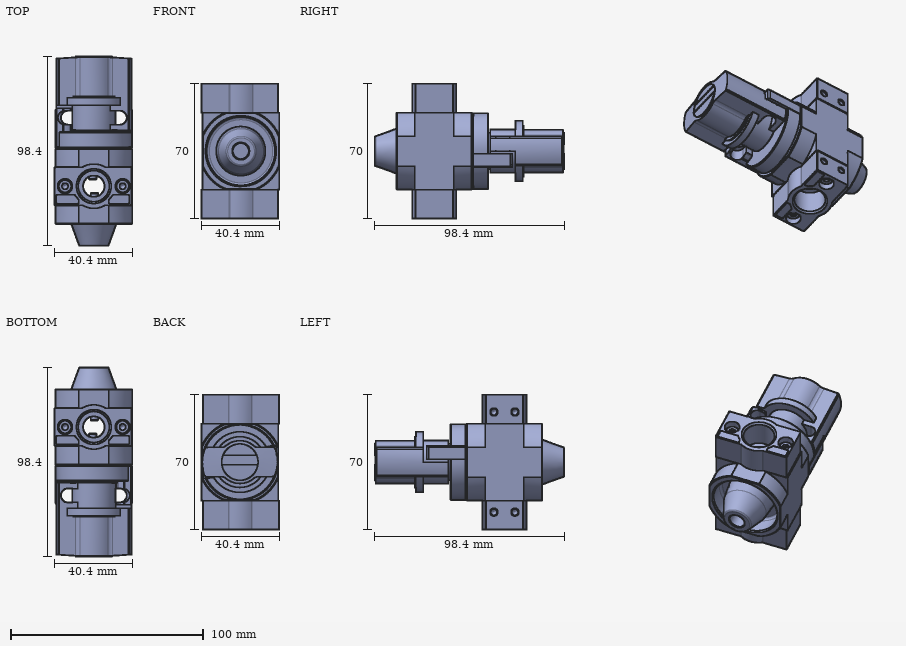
import cadquery as cq
import math


HOUSING_HALF_WIDTH = 20.0
HOUSING_HALF_LENGTH = 19.7
HOUSING_RADIUS = 21.4
MIDDLE_HALF_LENGTH = 10.0
HOUSING_EDGE = 0.4
CHANNEL_RADIUS = 5.5
STOP_DIAMETER = 4.0
STOP_REACH = 3.3
STOP_EDGE = 0.5
STOP_OFFSETS = {1: -0.6, -1: 0.3}

RECESS_RADIUS = 17.7
RECESS_EDGE = 0.7
RECESS_DEPTH = 9.6
RECESS_FILLET = 1.3
NOZZLE_TIP_Y = -31.0
NOZZLE_TIP_RADIUS = 7.6
NOZZLE_TIP_FILLET = 0.9
NOZZLE_SHOULDER_RADIUS = 11.7
NOZZLE_ROOT_RADIUS = 12.8
NOZZLE_BORE_RADIUS = 4.1
NOZZLE_BORE_DEPTH = 9.8
NOZZLE_BORE_EDGE = 0.4

BLOCK_TOP = 34.98
BLOCK_WIDTH = 39.8
BLOCK_OFFSET = -0.54
BLOCK_HALF_LENGTH = 9.8
BLOCK_EDGE = 0.3
BOSS_RADIUS = 11.5
BOSS_ROOT_FILLET = 0.6
PORT_RADIUS = 8.1
PORT_EDGE = 1.0
SIDE_HOLE_SPACING = 10.9
SIDE_HOLE_HEIGHT = 26.0
SIDE_HOLE_DIAMETER = 3.2
SIDE_HOLE_MOUTH = 4.0
SIDE_HOLE_DEPTH = 3.9
LABEL_DEPTH = 0.2
LABEL_MARGIN = 1.0
LABEL_INNER = 7.8
LABEL_CUT_X = 9.9
LABEL_CUT_Y = -7.1
LABEL_NEAR = -4.5
LABEL_FAR = -9.1
LABEL_FILLET = 0.6

SCREW_X = 15.0
SCREW_SINK = 3.2
SCREW_POCKET_DIAMETER = 7.7
SCREW_HEAD_DIAMETER = 7.0
SCREW_HEAD_EDGE = 0.3
SCREW_HEAD_HEIGHT = 3.9
SCREW_SHANK_DIAMETER = 4.0
SCREW_TIP_Z = 13.8
SOCKET_DIAMETER = 3.2
SOCKET_DEPTH = 1.5
DRILL_TIP_ANGLE = 118.0

SLEEVE_RADIUS = 19.8
SLEEVE_END = 28.1
SLEEVE_EDGE = 0.5
SLEEVE_GAP = 0.6
SLEEVE_LIP_RADIUS = 18.2
ARM_END = 40.3
ARM_OUTER = 20.0
ARM_INNER = 11.9
ARM_CREST = 16.1
ARM_BULGE_OUTER = 15.6
ARM_BULGE_INNER = 12.7
ARM_BULGE_DROP = 0.3
ARM_BULGE_SAG = 0.4
ARM_BOTTOM = 1.4
ARM_TOP = 8.5
ARM_END_EDGE = 1.0
ARM_TOP_EDGE = 0.7

NECK_RADIUS = 9.5
SHAFT_RADIUS = 11.3
SHAFT_START = 29.0
GRIP_RADIUS = 11.1
GRIP_END = 66.9
GRIP_END_DROP = 0.7
CAP_RADIUS = 9.4
CAP_END = 67.4
CAP_GROOVE_BOTTOM = -1.3
CAP_GROOVE_TOP = 3.5
CAP_GROOVE_DEPTH = 0.3
WING_RADIUS = 19.6
WING_HALF_THICKNESS = 7.6
WING_FLAT_HALF_WIDTH = 17.8
WING_SIDE_HALF_HEIGHT = 6.8
WING_ROOT_FILLET = 3.7
FLANGE_RADIUS = 15.7
FLANGE_START = 42.1
FLANGE_END = 45.9
FLANGE_STEP_RADIUS = 13.2
FLANGE_STEP_END = 46.5

SLOT_WIDTH = 7.1
SLOT_Y = 35.5
WING_SLOT_REACH = 17.0
ARM_SLOT_REACH = 18.6

BIG = 98.4


def rod(radius, y_start, y_end):
    """Cylinder along the valve axis."""
    plane = cq.Workplane("XZ", origin=(0, y_start, 0))
    return plane.circle(radius).extrude(y_start - y_end)


def block(x0, x1, y0, y1, z0, z1):
    """Box between two opposite corners."""
    return cq.Workplane("XY").box(x1 - x0, y1 - y0, z1 - z0, centered=False).translate((x0, y0, z0))


def turned(points):
    """Solid turned about the Y axis from (radius, y) points."""
    return cq.Workplane("XY").polyline(points).close().revolve(360, (0, 0, 0), (0, 1, 0))


def drill(diameter, depth, mouth=None):
    """Drill shape along -Z from the origin, with a conical end and an optional chamfered mouth."""
    radius = diameter / 2
    tip = radius / math.tan(math.radians(DRILL_TIP_ANGLE / 2))
    mouth_radius = mouth / 2 if mouth else radius
    points = [(0, 0), (mouth_radius, 0)]
    if mouth:
        points.append((radius, radius - mouth_radius))
    points += [(radius, -depth), (0, -depth - tip)]
    return cq.Workplane("XZ").polyline(points).close().revolve(360, (0, 0, 0), (0, 1, 0))


def make_nozzle():
    root_y = RECESS_DEPTH - HOUSING_HALF_LENGTH
    nozzle = turned([
        (0, root_y),
        (NOZZLE_ROOT_RADIUS, root_y),
        (NOZZLE_SHOULDER_RADIUS, -HOUSING_HALF_LENGTH),
        (NOZZLE_TIP_RADIUS, NOZZLE_TIP_Y),
        (0, NOZZLE_TIP_Y),
    ])
    nozzle = nozzle.faces("<Y").edges().fillet(NOZZLE_TIP_FILLET)
    bore = rod(NOZZLE_BORE_RADIUS, NOZZLE_TIP_Y, NOZZLE_TIP_Y + NOZZLE_BORE_DEPTH)
    mouth = cq.selectors.RadiusNthSelector(0)
    return nozzle.cut(bore).faces("<Y").edges(mouth).chamfer(NOZZLE_BORE_EDGE)


def make_housing():
    w, h = HOUSING_HALF_WIDTH, HOUSING_HALF_LENGTH
    housing = rod(HOUSING_RADIUS, -h, h).intersect(block(-w, w, -h, h, -w, w))
    housing = housing.faces("|Y").chamfer(HOUSING_EDGE)
    m = MIDDLE_HALF_LENGTH
    housing = housing.union(block(-w, w, -m, m, -w, w))

    recess = rod(RECESS_RADIUS, -h, RECESS_DEPTH - h)
    recess = recess.faces(">Y").edges().fillet(RECESS_FILLET)
    rim = turned([
        (0, -h),
        (RECESS_RADIUS + RECESS_EDGE, -h),
        (RECESS_RADIUS, -h + RECESS_EDGE),
        (0, -h + RECESS_EDGE),
    ])
    housing = housing.cut(recess).cut(rim).union(make_nozzle())

    channel = cq.Workplane("XY").circle(CHANNEL_RADIUS).extrude(w, both=True)
    housing = housing.cut(channel)
    for side, offset in STOP_OFFSETS.items():
        stop = rod(STOP_DIAMETER / 2, side * STOP_REACH, side * (CHANNEL_RADIUS + 1))
        stop = stop.faces("<Y" if side > 0 else ">Y").chamfer(STOP_EDGE)
        housing = housing.union(stop.translate((offset, 0, 0)))

    for x in (-SCREW_X, SCREW_X):
        for side in (-1, 1):
            thread = cq.Workplane("XY", origin=(x, 0, side * SCREW_TIP_Z))
            housing = housing.cut(thread.circle(SCREW_SHANK_DIAMETER / 2).extrude(side * w))
    return housing


def make_label_pocket(side):
    outer_x = BLOCK_OFFSET + side * (BLOCK_WIDTH / 2 - LABEL_MARGIN)
    points = [
        (outer_x, LABEL_NEAR),
        (side * LABEL_CUT_X, LABEL_NEAR),
        (side * LABEL_INNER, LABEL_CUT_Y),
        (side * LABEL_INNER, LABEL_FAR),
        (outer_x, LABEL_FAR),
    ]
    pocket = cq.Workplane("XY", origin=(0, 0, BLOCK_TOP)).polyline(points).close().extrude(-LABEL_DEPTH)
    return pocket.edges("|Z").fillet(LABEL_FILLET)


def make_port_block():
    """Upper port block."""
    z0 = HOUSING_HALF_WIDTH
    x0, x1 = BLOCK_OFFSET - BLOCK_WIDTH / 2, BLOCK_OFFSET + BLOCK_WIDTH / 2
    port = block(x0, x1, -BLOCK_HALF_LENGTH, BLOCK_HALF_LENGTH, z0, BLOCK_TOP)
    port = port.edges("|Z").chamfer(BLOCK_EDGE)
    seat = cq.Workplane("XY", origin=(0, 0, z0))
    height = BLOCK_TOP - z0
    port = port.union(seat.circle(BOSS_RADIUS).extrude(height))
    corner = (BOSS_RADIUS, BOSS_RADIUS, BLOCK_TOP)
    boss_roots = cq.selectors.BoxSelector((-BOSS_RADIUS, -BOSS_RADIUS, z0), corner)
    port = port.edges("|Z").edges(boss_roots).fillet(BOSS_ROOT_FILLET)

    port = port.cut(seat.circle(PORT_RADIUS).extrude(height))
    mouth = cq.selectors.RadiusNthSelector(1)
    port = port.faces(">Z").edges(mouth).chamfer(PORT_EDGE)
    for y in (-SIDE_HOLE_SPACING / 2, SIDE_HOLE_SPACING / 2):
        hole = drill(SIDE_HOLE_DIAMETER, SIDE_HOLE_DEPTH, SIDE_HOLE_MOUTH)
        hole = hole.rotate((0, 0, 0), (0, 1, 0), -90)
        port = port.cut(hole.translate((x0, y, SIDE_HOLE_HEIGHT)))
    for side in (-1, 1):
        at_screw = seat.center(side * SCREW_X, 0)
        port = port.cut(at_screw.circle(SCREW_SHANK_DIAMETER / 2).extrude(height))
        pocket = at_screw.workplane(offset=height - SCREW_SINK - SCREW_HEAD_HEIGHT)
        port = port.cut(pocket.circle(SCREW_POCKET_DIAMETER / 2).extrude(height))
        port = port.cut(make_label_pocket(side))
    return port


def make_screw(x):
    """Upper block screw at the given X."""
    head_top = BLOCK_TOP - SCREW_SINK
    head_bottom = head_top - SCREW_HEAD_HEIGHT
    head = cq.Workplane("XY", origin=(0, 0, head_bottom)).circle(SCREW_HEAD_DIAMETER / 2)
    head = head.extrude(SCREW_HEAD_HEIGHT).faces(">Z").chamfer(SCREW_HEAD_EDGE)
    shank = cq.Workplane("XY", origin=(0, 0, SCREW_TIP_Z)).circle(SCREW_SHANK_DIAMETER / 2)
    screw = head.union(shank.extrude(head_bottom - SCREW_TIP_Z))
    socket = drill(SOCKET_DIAMETER, SOCKET_DEPTH).translate((0, 0, head_top))
    return screw.cut(socket).translate((x, 0, 0))


def turn_over(body):
    """Copy turned half a turn about X, from the upper to the lower side."""
    return body.rotate((0, 0, 0), (1, 0, 0), 180)


def half_turn(body):
    """Copy turned half a turn about the valve axis."""
    return body.rotate((0, 0, 0), (0, 1, 0), 180)


def make_slot(reach):
    """Padlock slot, parallel to Z, with round ends at +-reach."""
    plane = cq.Workplane("XY", origin=(0, SLOT_Y, 0))
    return plane.slot2D(2 * reach, SLOT_WIDTH).extrude(BIG, both=True)


def make_arm():
    """Locking arm on the -X side."""
    y0 = HOUSING_HALF_LENGTH + SLEEVE_GAP
    bulge_z = ARM_TOP - ARM_BULGE_DROP
    bulge_x = (ARM_BULGE_OUTER + ARM_BULGE_INNER) / 2
    foot_z = bulge_z - 2 * ARM_BULGE_SAG
    profile = (
        cq.Workplane("XZ", origin=(0, y0, 0))
        .moveTo(-ARM_OUTER, ARM_BOTTOM)
        .lineTo(-ARM_OUTER, ARM_TOP - ARM_TOP_EDGE)
        .lineTo(-ARM_OUTER + ARM_TOP_EDGE, ARM_TOP)
        .lineTo(-ARM_CREST, ARM_TOP)
        .lineTo(-ARM_BULGE_OUTER, bulge_z)
        .threePointArc((-bulge_x, bulge_z - ARM_BULGE_SAG / 2), (-ARM_BULGE_INNER, foot_z))
        .lineTo(-ARM_INNER, foot_z - ARM_BULGE_DROP)
        .lineTo(-ARM_INNER, ARM_BOTTOM)
        .close()
    )
    arm = profile.extrude(y0 - ARM_END)
    arm = arm.edges("|Z and >Y and <X").chamfer(ARM_END_EDGE)
    return arm.cut(make_slot(ARM_SLOT_REACH))


def make_sleeve():
    y0 = HOUSING_HALF_LENGTH
    sleeve = rod(SLEEVE_RADIUS, y0 + SLEEVE_GAP, SLEEVE_END).faces(">Y").chamfer(SLEEVE_EDGE)
    sleeve = sleeve.union(rod(SLEEVE_LIP_RADIUS, y0, y0 + SLEEVE_GAP))
    arm = make_arm()
    sleeve = sleeve.union(arm).union(half_turn(arm))
    return sleeve.cut(rod(NECK_RADIUS, y0, SLEEVE_END))


def make_wings(y_start, y_end):
    """Flat wings with round sides and bevelled edges."""
    flat_x, flat_z = WING_FLAT_HALF_WIDTH, WING_HALF_THICKNESS
    side_z = WING_SIDE_HALF_HEIGHT
    side_x = math.sqrt(WING_RADIUS**2 - side_z**2)
    outline = (
        cq.Workplane("XZ", origin=(0, y_start, 0))
        .moveTo(-flat_x, flat_z)
        .lineTo(flat_x, flat_z)
        .lineTo(side_x, side_z)
        .threePointArc((WING_RADIUS, 0), (side_x, -side_z))
        .lineTo(flat_x, -flat_z)
        .lineTo(-flat_x, -flat_z)
        .lineTo(-side_x, -side_z)
        .threePointArc((-WING_RADIUS, 0), (-side_x, side_z))
        .close()
    )
    return outline.extrude(y_start - y_end)


def make_grip():
    """Winged grip behind the flange."""
    grip = rod(GRIP_RADIUS, FLANGE_START, GRIP_END).union(make_wings(FLANGE_START, GRIP_END))
    roots = cq.selectors.BoxSelector((-GRIP_RADIUS, 0, -GRIP_RADIUS), (GRIP_RADIUS, BIG, GRIP_RADIUS))
    grip = grip.edges("|Y").edges(roots).fillet(WING_ROOT_FILLET)
    return grip.intersect(turned([
        (0, 0),
        (WING_RADIUS, 0),
        (WING_RADIUS, GRIP_END - GRIP_END_DROP),
        (CAP_RADIUS, GRIP_END),
        (0, GRIP_END),
    ]))


def make_handle():
    front_wings = make_wings(SHAFT_START, FLANGE_START)
    gap = block(-BIG, 0, SHAFT_START, FLANGE_START, 0, BIG)
    cutters = gap.union(half_turn(gap)).union(make_slot(WING_SLOT_REACH))
    front_wings = front_wings.cut(cutters)

    handle = make_grip().union(front_wings).union(rod(SHAFT_RADIUS, SHAFT_START, FLANGE_START))
    handle = handle.union(rod(FLANGE_RADIUS, FLANGE_START, FLANGE_END))
    handle = handle.union(rod(FLANGE_STEP_RADIUS, FLANGE_END, FLANGE_STEP_END))
    handle = handle.union(rod(NECK_RADIUS, HOUSING_HALF_LENGTH, SHAFT_START))
    handle = handle.union(rod(CAP_RADIUS, GRIP_END, CAP_END))
    groove_start = CAP_END - CAP_GROOVE_DEPTH
    return handle.cut(block(-BIG, BIG, groove_start, CAP_END, CAP_GROOVE_BOTTOM, CAP_GROOVE_TOP))


housing = make_housing()
upper_block = make_port_block()
port_blocks = [upper_block, turn_over(upper_block)]
screws = []
for screw_x in (-SCREW_X, SCREW_X):
    upper_screw = make_screw(screw_x)
    screws += [upper_screw, turn_over(upper_screw)]
sleeve = make_sleeve()
handle = make_handle()

bodies = [housing, *port_blocks, *screws, sleeve, handle]
result = cq.Compound.makeCompound([body.val() for body in bodies])